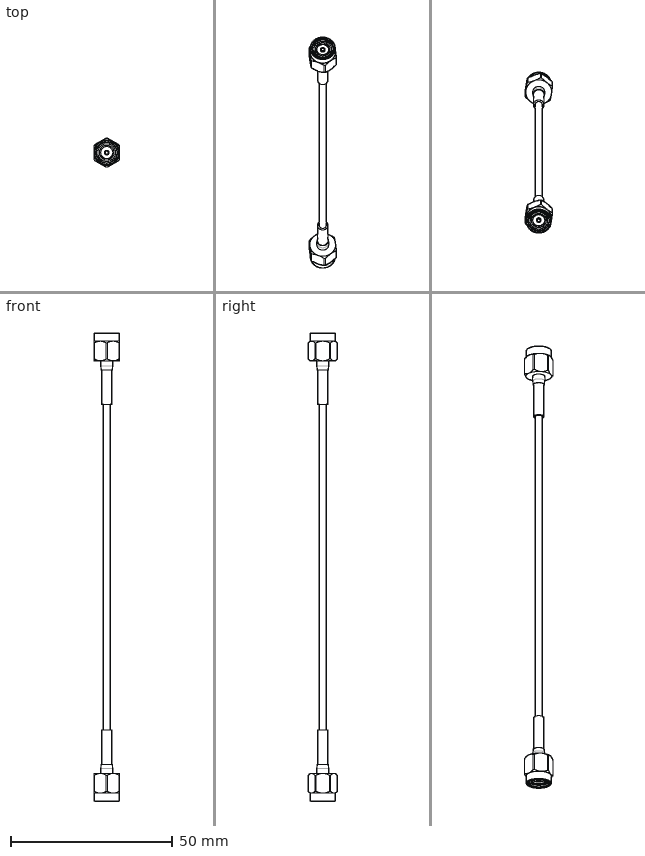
import cadquery as cq
import math

overall_length = 145.49
half_length = overall_length / 2


across_flats = 8.0
across_corners = 9.02
nut_end = 8.7
collar_diameter = 7.81
collar_end = 2.6
collar_chamfer = 0.2
front_face_diameter = 8.0
front_chamfer_height = 0.5
rear_face_diameter = 8.0
rear_chamfer_height = 0.6

mouth_diameter = 6.62
mouth_depth = 0.3
relief_diameter = 6.35
relief_depth = 0.8
socket_diameter = 5.5
socket_depth = 5.0

sleeve_diameter = 4.57
sleeve_bore_diameter = 3.76
sleeve_recess = 0.8
sleeve_bore_depth = 1.4
shoulder_diameter = 1.45
shoulder_recess = 1.1
pin_diameter = 0.94
pin_recess = sleeve_recess

neck_diameter = 3.76
neck_end = 10.3
taper_end = 11.5
taper_end_diameter = 3.5
boot_diameter = 3.25
boot_end = 22.2

cable_diameter = 2.18
cable_length = overall_length - 2 * taper_end


def rod(diameter, start, end):
    """Round rod on the connector axis, between two distances from the mating end."""
    return cq.Workplane("XY").workplane(offset=-end).circle(diameter / 2).extrude(end - start)


def hexagon_with_rounded_corners():
    """Hexagon with two flats facing X, its corners turned down and chamfered at both ends."""
    hexagon = (
        cq.Workplane("XY")
        .workplane(offset=-nut_end)
        .polygon(6, across_flats / math.cos(math.pi / 6))
        .extrude(nut_end - collar_end)
        .rotate((0, 0, 0), (0, 0, 1), 30)
    )
    corner_radius = across_corners / 2
    turned_envelope = (
        cq.Workplane("XZ")
        .moveTo(0, -nut_end)
        .lineTo(rear_face_diameter / 2, -nut_end)
        .lineTo(corner_radius, -nut_end + rear_chamfer_height)
        .lineTo(corner_radius, -collar_end - front_chamfer_height)
        .lineTo(front_face_diameter / 2, -collar_end)
        .lineTo(0, -collar_end)
        .close()
        .revolve(360, (0, 0, 0), (0, 1, 0))
    )
    return hexagon.intersect(turned_envelope)


def coupling_nut():
    collar = rod(collar_diameter, 0, collar_end).faces(">Z").edges().chamfer(collar_chamfer)
    nut = hexagon_with_rounded_corners().union(collar)
    nut = nut.cut(rod(socket_diameter, 0, socket_depth))
    nut = nut.cut(rod(relief_diameter, 0, relief_depth))
    return nut.cut(rod(mouth_diameter, 0, mouth_depth))


def contact():
    sleeve = rod(sleeve_diameter, sleeve_recess, socket_depth)
    sleeve = sleeve.cut(rod(sleeve_bore_diameter, sleeve_recess, sleeve_bore_depth))
    shoulder = rod(shoulder_diameter, shoulder_recess, sleeve_bore_depth)
    pin = rod(pin_diameter, pin_recess, shoulder_recess)
    return sleeve.union(shoulder).union(pin)


def neck_and_boot():
    neck = rod(neck_diameter, nut_end, neck_end)
    taper = (
        cq.Workplane("XY")
        .workplane(offset=-taper_end)
        .circle(taper_end_diameter / 2)
        .workplane(offset=taper_end - neck_end)
        .circle(neck_diameter / 2)
        .loft()
    )
    boot = rod(boot_diameter, taper_end, boot_end).cut(rod(cable_diameter, taper_end, boot_end))
    return neck.union(taper).union(boot)


def connector():
    return coupling_nut().union(contact()).union(neck_and_boot())


cable = (
    cq.Workplane("XY")
    .workplane(offset=-cable_length / 2)
    .circle(cable_diameter / 2)
    .extrude(cable_length)
)

connectors = []
for turn in (0, 180):
    placed = connector().translate((0, 0, half_length)).rotate((0, 0, 0), (1, 0, 0), turn)
    connectors.append(placed.val())

result = cq.Compound.makeCompound([*connectors, cable.val()])